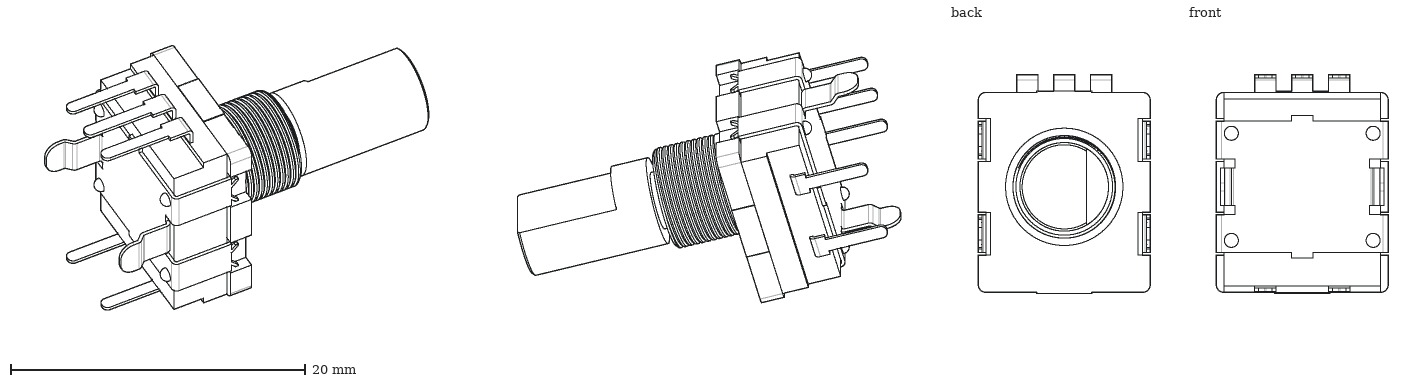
import cadquery as cq
import math


SIDES = (1, -1)
SHEET = 0.25
BEND_OUTER = 0.38
BEND_INNER = BEND_OUTER - SHEET

SHAFT_RADIUS = 3.0
SHAFT_TIP_Y = 15.2
SHAFT_SHOULDER_Y = 5.72
SHAFT_CHAMFER = 0.15
FLAT_X = -1.5
FLAT_END_Y = 8.23
NECK_RADIUS = 1.98

BUSHING_RADIUS = 3.5
BUSHING_END_Y = 5.2
BUSHING_CHAMFER = 0.2
COLLAR_RADIUS = 4.0
COLLAR_HEIGHT = 0.23
THREAD_START_Y = 0.63
THREAD_PITCH = 0.4
BLANK_EXTRA = 2 * THREAD_PITCH
THREAD_DEPTH = 0.13
GROOVE_MOUTH = 0.25
GROOVE_CLEARANCE = 0.03

FLANGE_HALF_WIDTH = 5.85
FLANGE_THICKNESS = 1.6
FLANGE_CORNER = 0.53
TOP_Z = 6.43
BOTTOM_Z = -7.18
RIDGE_HALF_WIDTH = 1.88
RIDGE_HEIGHT = 0.08
NOTCH_Z_MIN = 1.73
NOTCH_Z_MAX = 4.65
NOTCH_DEPTH = 0.83

CASE_HALF_WIDTH = 5.32
CASE_STEP_Y = -3.41
CASE_BACK_Y = -5.7
CASE_STEP = 0.45

TERMINAL_PITCH = 2.5
TERMINAL_WIDTH = 1.45
PIN_WIDTH = 0.9
PIN_TIP_Y = -9.75
PIN_TIP_RADIUS = 0.4
TOP_TERMINAL_Z = 7.63
TOP_TERMINAL_Y = -3.1
TOP_SHOULDER_Y = -4.87
BOTTOM_TERMINAL_Z = -7.13
BOTTOM_TERMINAL_Y = -4.47
BOTTOM_SHOULDER_Y = -5.52
TERMINAL_ROOT = 0.38

BRACKET_BACK_Y = CASE_BACK_Y - SHEET
STRAP_FRONT_Y = -1.53
STRAP_Z_MIN = 1.88
STRAP_Z_MAX = 4.47
WINDOW_X = 4.57
EAR_HALF_WIDTH = 0.73
EAR_LENGTH = 0.38
DOME_RADIUS = 0.48
DOME_X = 4.82
DOME_Z = 3.65
CLAW_INNER = 0.43
CLAW_OUTER = 0.75
CLAW_TOP = 1.05
CLAW_REACH = 0.53

LEG_OUTER_X = 5.05
LEG_TIP_OUTER_X = 5.55
LEG_KINK_Y = -7.85
LEG_TIP_Y = -9.9
LEG_HALF_WIDTH = 1.28
LEG_TIP_RADIUS = 1.0


def block(x_range, y_range, z_range):
    """Box between the given limits along each axis."""
    size = [high - low for low, high in (x_range, y_range, z_range)]
    corner = cq.Vector(x_range[0], y_range[0], z_range[0])
    return cq.Workplane(cq.Solid.makeBox(*size, pnt=corner))


def round_bar(radius, y_start, y_end):
    """Cylinder on the shaft axis."""
    return cq.Workplane(cq.Solid.makeCylinder(
        radius, y_end - y_start, cq.Vector(0, y_start, 0), cq.Vector(0, 1, 0)))


def make_shaft():
    shaft = round_bar(SHAFT_RADIUS, SHAFT_SHOULDER_Y, SHAFT_TIP_Y)
    shaft = shaft.faces(">Y").chamfer(SHAFT_CHAMFER)
    flat_cut = block(
        (-2 * SHAFT_RADIUS, FLAT_X), (FLAT_END_Y, SHAFT_TIP_Y), (-SHAFT_RADIUS, SHAFT_RADIUS))
    neck = round_bar(NECK_RADIUS, BUSHING_END_Y, SHAFT_SHOULDER_Y)
    return shaft.cut(flat_cut).union(neck)


def make_thread_groove():
    """Right-handed V groove that starts on the +Z side and runs one pitch past the bushing end."""
    height = BUSHING_END_Y - THREAD_START_Y + THREAD_PITCH
    helix = cq.Wire.makeHelix(THREAD_PITCH, height, BUSHING_RADIUS)
    half_mouth = GROOVE_MOUTH / 2 * (1 + GROOVE_CLEARANCE / THREAD_DEPTH)
    section = (
        cq.Workplane("XZ")
        .moveTo(BUSHING_RADIUS + GROOVE_CLEARANCE, -half_mouth)
        .lineTo(BUSHING_RADIUS - THREAD_DEPTH, 0)
        .lineTo(BUSHING_RADIUS + GROOVE_CLEARANCE, half_mouth)
        .close()
    )
    groove = section.sweep(cq.Workplane(helix), isFrenet=True)
    start = cq.Plane(origin=(0, THREAD_START_Y, 0), xDir=(0, 0, 1), normal=(0, 1, 0))
    return cq.Workplane(groove.val().moved(cq.Location(start)))


def make_bushing():
    blank = round_bar(BUSHING_RADIUS, 0, BUSHING_END_Y + BLANK_EXTRA)
    chamfered = round_bar(BUSHING_RADIUS, 0, BUSHING_END_Y).faces(">Y").chamfer(BUSHING_CHAMFER)
    waste = round_bar(2 * BUSHING_RADIUS, 0, BUSHING_END_Y + 2 * BLANK_EXTRA).cut(chamfered)
    waste = waste.cut(round_bar(2 * BUSHING_RADIUS, 0, BUSHING_END_Y - BUSHING_CHAMFER))
    collar = round_bar(COLLAR_RADIUS, 0, COLLAR_HEIGHT)
    return blank.cut(make_thread_groove()).cut(waste).union(collar)


def make_flange():
    depth = (-FLANGE_THICKNESS, 0)
    flange = block((-FLANGE_HALF_WIDTH, FLANGE_HALF_WIDTH), depth, (BOTTOM_Z, TOP_Z))
    flange = flange.edges("|Y").fillet(FLANGE_CORNER)
    ridge = block((-RIDGE_HALF_WIDTH, RIDGE_HALF_WIDTH), depth,
                  (BOTTOM_Z - RIDGE_HEIGHT, TOP_Z + RIDGE_HEIGHT))
    flange = flange.union(ridge)
    notch = block((FLANGE_HALF_WIDTH - NOTCH_DEPTH, FLANGE_HALF_WIDTH), depth,
                  (NOTCH_Z_MIN, NOTCH_Z_MAX))
    notch = notch.union(notch.mirror("YZ"))
    return flange.cut(notch).cut(notch.mirror("XY"))


def make_shaft_unit():
    """Shaft, threaded bushing and flange in one piece."""
    return make_flange().union(make_bushing()).union(make_shaft())


def make_terminal(surface_z, outer_z, front_y, shoulder_y):
    """Terminal at X = 0 that leaves the case at surface_z and bends back into a pin."""
    side = math.copysign(1, outer_z)
    root_z = surface_z - side * TERMINAL_ROOT
    inner_z = outer_z - side * SHEET
    strip = (
        cq.Workplane("YZ")
        .moveTo(front_y, root_z)
        .lineTo(front_y, outer_z - side * BEND_OUTER)
        .radiusArc((front_y - BEND_OUTER, outer_z), -side * BEND_OUTER)
        .lineTo(PIN_TIP_Y, outer_z)
        .lineTo(PIN_TIP_Y, inner_z)
        .lineTo(front_y - BEND_OUTER, inner_z)
        .radiusArc((front_y - SHEET, inner_z - side * BEND_INNER), side * BEND_INNER)
        .lineTo(front_y - SHEET, root_z)
        .close()
        .extrude(TERMINAL_WIDTH / 2, both=True)
    )
    for x_side in SIDES:
        x_limits = sorted((x_side * PIN_WIDTH / 2, x_side * TERMINAL_WIDTH))
        strip = strip.cut(block(x_limits, (PIN_TIP_Y, shoulder_y), sorted((inner_z, outer_z))))
    return strip.edges("|Z and <Y").fillet(PIN_TIP_RADIUS)


def make_case():
    """Moulded case with three terminals on top and two below."""
    width = (-CASE_HALF_WIDTH, CASE_HALF_WIDTH)
    case = block(width, (CASE_STEP_Y, -FLANGE_THICKNESS), (BOTTOM_Z, TOP_Z))
    back_top = TOP_Z - CASE_STEP
    back_bottom = BOTTOM_Z + CASE_STEP
    case = case.union(block(width, (CASE_BACK_Y, CASE_STEP_Y), (back_bottom, back_top)))
    top_terminal = make_terminal(TOP_Z, TOP_TERMINAL_Z, TOP_TERMINAL_Y, TOP_SHOULDER_Y)
    bottom_terminal = make_terminal(
        back_bottom, BOTTOM_TERMINAL_Z, BOTTOM_TERMINAL_Y, BOTTOM_SHOULDER_Y)
    for column in (-1, 0, 1):
        case = case.union(top_terminal.translate((column * TERMINAL_PITCH, 0, 0)))
    for column in SIDES:
        case = case.union(bottom_terminal.translate((column * TERMINAL_PITCH, 0, 0)))
    return case


def make_leg():
    """Snap-in leg on the +X side, bent back from the plate and kinked outwards near its end."""
    shift = LEG_TIP_OUTER_X - LEG_OUTER_X
    kink_offset = SHEET * math.tan(math.pi / 8)
    inner_x = LEG_OUTER_X - SHEET
    leg = (
        cq.Workplane("XY")
        .moveTo(WINDOW_X, CASE_BACK_Y)
        .lineTo(LEG_OUTER_X - BEND_OUTER, CASE_BACK_Y)
        .radiusArc((LEG_OUTER_X, CASE_BACK_Y - BEND_OUTER), BEND_OUTER)
        .lineTo(LEG_OUTER_X, LEG_KINK_Y)
        .lineTo(LEG_TIP_OUTER_X, LEG_KINK_Y - shift)
        .lineTo(LEG_TIP_OUTER_X, LEG_TIP_Y)
        .lineTo(LEG_TIP_OUTER_X - SHEET, LEG_TIP_Y)
        .lineTo(LEG_TIP_OUTER_X - SHEET, LEG_KINK_Y - shift - kink_offset)
        .lineTo(inner_x, LEG_KINK_Y - kink_offset)
        .lineTo(inner_x, BRACKET_BACK_Y - BEND_INNER)
        .radiusArc((inner_x - BEND_INNER, BRACKET_BACK_Y), -BEND_INNER)
        .lineTo(WINDOW_X, BRACKET_BACK_Y)
        .close()
        .extrude(LEG_HALF_WIDTH, both=True)
    )
    outer_bends = [(inner_x, LEG_KINK_Y - kink_offset), (LEG_TIP_OUTER_X, LEG_KINK_Y - shift)]
    inner_bends = [(LEG_OUTER_X, LEG_KINK_Y),
                   (LEG_TIP_OUTER_X - SHEET, LEG_KINK_Y - shift - kink_offset)]
    for corners, radius in ((outer_bends, BEND_OUTER), (inner_bends, BEND_INNER)):
        for x, y in corners:
            leg = leg.edges(cq.selectors.NearestToPointSelector((x, y, 0))).fillet(radius)
    return leg.edges("|X and <Y").fillet(LEG_TIP_RADIUS)


def make_claws():
    """Pair of locking claws on the +X, +Z strap, slanting at 45 degrees away from its centreline."""
    strap_centre = (STRAP_Z_MIN + STRAP_Z_MAX) / 2
    tip_y = STRAP_FRONT_Y + CLAW_REACH
    shoulder_y = STRAP_FRONT_Y + CLAW_TOP - CLAW_OUTER
    claw = (
        cq.Workplane("YZ", origin=(FLANGE_HALF_WIDTH - SHEET, 0, 0))
        .moveTo(STRAP_FRONT_Y, CLAW_INNER)
        .lineTo(tip_y, CLAW_INNER + CLAW_REACH)
        .lineTo(tip_y, CLAW_TOP)
        .lineTo(shoulder_y, CLAW_TOP)
        .lineTo(STRAP_FRONT_Y, CLAW_OUTER)
        .close()
        .extrude(SHEET)
    )
    pair = claw.union(claw.mirror("XY"))
    return pair.translate((0, 0, strap_centre))


def make_bracket():
    """Sheet-metal clip: back plate, four straps with claws, two legs and four domes."""
    outer = block((-FLANGE_HALF_WIDTH, FLANGE_HALF_WIDTH), (BRACKET_BACK_Y, STRAP_FRONT_Y),
                  (-STRAP_Z_MAX, STRAP_Z_MAX))
    outer = outer.edges("|Z and <Y").fillet(BEND_OUTER)
    inner_x = FLANGE_HALF_WIDTH - SHEET
    inner = block((-inner_x, inner_x), (CASE_BACK_Y, STRAP_FRONT_Y), (-STRAP_Z_MAX, STRAP_Z_MAX))
    inner = inner.edges("|Z and <Y").fillet(BEND_INNER)
    bracket = outer.cut(inner)
    window = block((WINDOW_X, FLANGE_HALF_WIDTH), (BRACKET_BACK_Y, STRAP_FRONT_Y),
                   (-STRAP_Z_MIN, STRAP_Z_MIN))
    bracket = bracket.cut(window).cut(window.mirror("YZ"))

    ear_z = STRAP_Z_MAX + EAR_LENGTH
    bracket = bracket.union(block(
        (-EAR_HALF_WIDTH, EAR_HALF_WIDTH), (BRACKET_BACK_Y, CASE_BACK_Y), (-ear_z, ear_z)))

    leg = make_leg()
    bracket = bracket.union(leg).union(leg.mirror("YZ"))

    claws = make_claws()
    claws = claws.union(claws.mirror("YZ"))
    bracket = bracket.union(claws).union(claws.mirror("XY"))

    behind_plate = block((-FLANGE_HALF_WIDTH, FLANGE_HALF_WIDTH), (LEG_TIP_Y, BRACKET_BACK_Y),
                         (-STRAP_Z_MAX, STRAP_Z_MAX))
    for x_side in SIDES:
        for z_side in SIDES:
            centre = (x_side * DOME_X, BRACKET_BACK_Y, z_side * DOME_Z)
            dome = cq.Workplane("XY").sphere(DOME_RADIUS).translate(centre)
            bracket = bracket.union(dome.intersect(behind_plate))
    return bracket


shaft_unit = make_shaft_unit()
case = make_case()
bracket = make_bracket()

result = cq.Compound.makeCompound([body.solids().val() for body in (shaft_unit, case, bracket)])